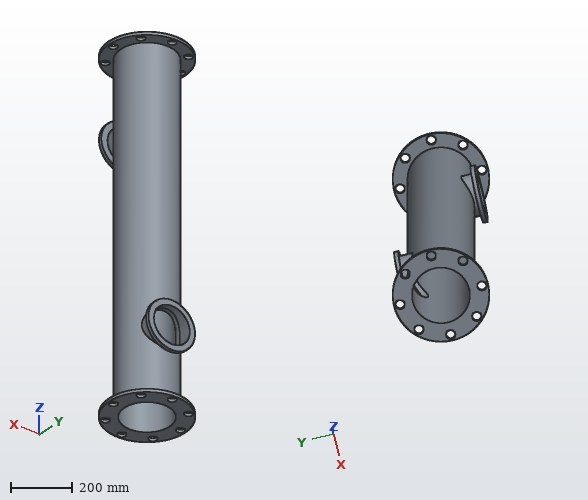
import cadquery as cq

total_height = 1384.0
pipe_diameter = 220.0
pipe_bore = 190.0

flange_diameter = 317.0
flange_thickness = 12.0
bolt_circle_diameter = 275.0
bolt_hole_diameter = 30.0
bolt_count = 8

nozzle_reach = 135.0
nozzle_end_distance = 288.0
nozzle_flange_diameter = 191.0
nozzle_flange_thickness = 14.0
neck_wall = 5.0
inlet_neck_diameter = 141.0
outlet_neck_diameter = 158.0
inlet_height = total_height - nozzle_end_distance
outlet_height = nozzle_end_distance


def vertical_cylinder(diameter, height, base=0.0):
    return cq.Workplane("XY").workplane(offset=base).circle(diameter / 2).extrude(height)


def radial_cylinder(diameter, start, end, height, side):
    """Cylinder along Y between two distances from the pipe axis; side is -1 or +1."""
    direction = cq.Vector(0, side, 0)
    origin = cq.Vector(0, side * start, height)
    return cq.Workplane(cq.Solid.makeCylinder(diameter / 2, end - start, origin, direction))


def make_end_flange(base):
    bolt_holes = (
        cq.Workplane("XY").workplane(offset=base)
        .polarArray(bolt_circle_diameter / 2, 0, 360, bolt_count)
        .circle(bolt_hole_diameter / 2)
        .extrude(flange_thickness)
    )
    return vertical_cylinder(flange_diameter, flange_thickness, base).cut(bolt_holes)


def make_nozzle_bore(neck_diameter, height, side):
    return radial_cylinder(neck_diameter - 2 * neck_wall, 0, nozzle_reach, height, side)


def make_nozzle_blank(neck_diameter, height, side):
    """Solid neck and flange, starting at the pipe axis."""
    flange_start = nozzle_reach - nozzle_flange_thickness
    neck = radial_cylinder(neck_diameter, 0, nozzle_reach, height, side)
    flange = radial_cylinder(nozzle_flange_diameter, flange_start, nozzle_reach, height, side)
    return neck.union(flange)


def make_column():
    """Pipe with both end flanges and the upper inlet nozzle, opened for both nozzles."""
    body = vertical_cylinder(pipe_diameter, total_height)
    for base in (0.0, total_height - flange_thickness):
        body = body.union(make_end_flange(base))
    body = body.union(make_nozzle_blank(inlet_neck_diameter, inlet_height, -1))
    return (
        body.cut(vertical_cylinder(pipe_bore, total_height))
        .cut(make_nozzle_bore(inlet_neck_diameter, inlet_height, -1))
        .cut(make_nozzle_bore(outlet_neck_diameter, outlet_height, 1))
    )


def make_outlet_nozzle():
    """Flanged neck whose inner end is saddled onto the outside of the pipe."""
    return (
        make_nozzle_blank(outlet_neck_diameter, outlet_height, 1)
        .cut(vertical_cylinder(pipe_diameter, total_height))
        .cut(make_nozzle_bore(outlet_neck_diameter, outlet_height, 1))
    )


column = make_column()
outlet_nozzle = make_outlet_nozzle()

result = cq.Compound.makeCompound([*column.solids().vals(), *outlet_nozzle.solids().vals()])